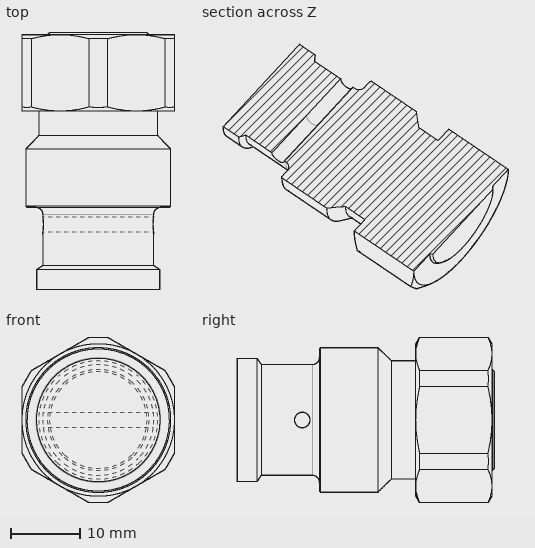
import cadquery as cq
import math

collar_end = 2.9
neck_start = 3.5
body_start = 11.85
body_end = 20.3
shoulder_end = 22.25
nut_start = 25.75
nut_end = 36.75
tip_end = 37.1

collar_radius = 8.9
neck_radius = 8.0
neck_fillet = 1.0
body_radius = 10.45
body_chamfer = 0.2
barrel_radius = 8.55
tip_radius = 7.3
tip_chamfer = 0.3

nut_across_flats = 22.0
nut_across_corner_flats = 23.85
nut_envelope_radius = 12.2
nut_chamfer_angle = 30.0

cross_hole_diameter = 2.2
cross_hole_y = 9.4


def make_turned_core():
    """Stepped body of revolution about the Y axis."""
    fillet_radius = neck_radius + neck_fillet
    fillet_start = body_start - neck_fillet
    diagonal = neck_fillet * math.sqrt(0.5)
    fillet_mid = (fillet_radius - diagonal, fillet_start + diagonal)
    profile = (
        cq.Workplane("ZY")
        .moveTo(0, 0)
        .lineTo(collar_radius, 0)
        .lineTo(collar_radius, collar_end)
        .lineTo(neck_radius, neck_start)
        .lineTo(neck_radius, fillet_start)
        .threePointArc(fillet_mid, (fillet_radius, body_start))
        .lineTo(body_radius - body_chamfer, body_start)
        .lineTo(body_radius, body_start + body_chamfer)
        .lineTo(body_radius, body_end)
        .lineTo(barrel_radius, shoulder_end)
        .lineTo(barrel_radius, nut_start)
        .lineTo(tip_radius, nut_start)
        .lineTo(tip_radius, tip_end - tip_chamfer)
        .lineTo(tip_radius - tip_chamfer, tip_end)
        .lineTo(0, tip_end)
        .close()
    )
    return profile.revolve(360, (0, 0, 0), (0, 1, 0))


def make_hexagonal_bar(across_flats, turn):
    """Hexagonal bar over the nut length; a turn of 30 degrees puts its flats on +/-X."""
    across_corners = across_flats / math.cos(math.radians(30))
    return (
        cq.Workplane("XZ", origin=(0, nut_start, 0))
        .transformed(rotate=(0, 0, turn))
        .polygon(6, across_corners)
        .extrude(nut_start - nut_end)
    )


def make_nut():
    """Hexagonal nut with flattened corners and a conical chamfer at both ends."""
    main_flats = make_hexagonal_bar(nut_across_flats, 30)
    corner_flats = make_hexagonal_bar(nut_across_corner_flats, 0)
    face_radius = nut_across_flats / 2
    chamfer_length = (nut_envelope_radius - face_radius) * math.tan(math.radians(nut_chamfer_angle))
    turned_envelope = (
        cq.Workplane("ZY")
        .moveTo(0, nut_start)
        .lineTo(face_radius, nut_start)
        .lineTo(nut_envelope_radius, nut_start + chamfer_length)
        .lineTo(nut_envelope_radius, nut_end - chamfer_length)
        .lineTo(face_radius, nut_end)
        .lineTo(0, nut_end)
        .close()
        .revolve(360, (0, 0, 0), (0, 1, 0))
    )
    return main_flats.intersect(corner_flats).intersect(turned_envelope)


def make_cross_hole():
    """Round cutter along X, running right through the neck."""
    return (
        cq.Workplane("YZ")
        .center(cross_hole_y, 0)
        .circle(cross_hole_diameter / 2)
        .extrude(body_radius, both=True)
    )


result = make_turned_core().union(make_nut()).cut(make_cross_hole())